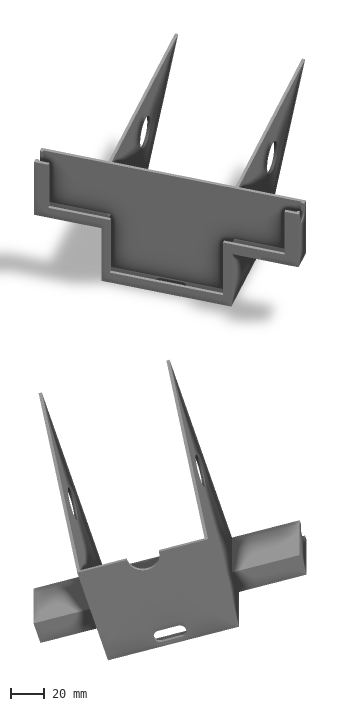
import cadquery as cq

width = 165.5
depth = 143.7
height = 80.0
wall = 2.0

tray_depth = 14.2
stem_width = 81.5
shoulder_z = 39.9
rim_end = 9.0
rim_stem = 5.3
rim_bottom = 7.5
rim_thickness = 2.0

floor_depth = depth - height
hole_diameter = 20.0
hole_y = 79.6
hole_z = 53.3

slot_width = 8.0
slot_length = hole_diameter
slot_y = tray_depth / 2
side_slot_depth = 10.5


def t_prism(front, back, end_inset=0, stem_inset=0, bottom_inset=0):
    """T-shaped block, inset from the tray outline and open at the top, between two Y planes."""
    half_width = width / 2 - end_inset
    half_stem = stem_width / 2 - stem_inset
    shoulder = shoulder_z + bottom_inset
    outline = [
        (-half_stem, bottom_inset),
        (half_stem, bottom_inset),
        (half_stem, shoulder),
        (half_width, shoulder),
        (half_width, height),
        (-half_width, height),
        (-half_width, shoulder),
        (-half_stem, shoulder),
    ]
    return cq.Workplane("XZ", origin=(0, front, 0)).polyline(outline).close().extrude(front - back)


def make_tray():
    cavity = t_prism(rim_thickness, tray_depth - wall, wall, wall, wall)
    opening = t_prism(0, rim_thickness, rim_end, rim_stem, rim_bottom)
    return t_prism(0, tray_depth).cut(cavity).cut(opening)


def make_side_plate(left_x):
    start_y = tray_depth - wall
    outline = [(start_y, 0), (floor_depth, 0), (depth, height), (start_y, height)]
    plate = cq.Workplane("YZ", origin=(left_x, 0, 0)).polyline(outline).close().extrude(wall)
    hole = (
        cq.Workplane("YZ", origin=(left_x, 0, 0))
        .center(hole_y, hole_z)
        .circle(hole_diameter / 2)
        .extrude(wall)
    )
    return plate.cut(hole)


def make_floor():
    start_y = tray_depth - wall
    floor = cq.Workplane("XY").box(
        stem_width, floor_depth - start_y, wall, centered=(True, False, False)
    ).translate((0, start_y, 0))
    notch = cq.Workplane("XY").center(0, floor_depth).circle(hole_diameter / 2).extrude(wall)
    return floor.cut(notch)


def make_floor_slot():
    return cq.Workplane("XY").center(0, slot_y).slot2D(slot_length, slot_width).extrude(wall)


def make_side_slots():
    """Round-bottomed slot, open at the top, running through both end walls."""
    radius = slot_width / 2
    round_z = height - side_slot_depth + radius
    return (
        cq.Workplane("YZ", origin=(-width / 2, 0, 0))
        .moveTo(slot_y - radius, height)
        .lineTo(slot_y - radius, round_z)
        .threePointArc((slot_y, round_z - radius), (slot_y + radius, round_z))
        .lineTo(slot_y + radius, height)
        .close()
        .extrude(width)
    )


result = make_tray().union(make_floor())
for plate_x in (-stem_width / 2, stem_width / 2 - wall):
    result = result.union(make_side_plate(plate_x))
result = result.cut(make_floor_slot()).cut(make_side_slots())